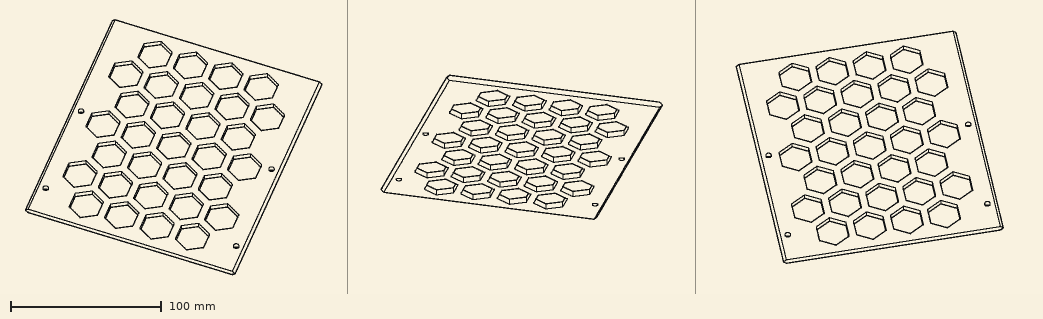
import cadquery as cq
import math

length = 164.8
width = 148.5
thickness = 4.0
bevel = thickness / 2

hex_sides = 6
hex_flats = 20.0
hex_pitch = 25.0
row_pitch = hex_pitch * math.sqrt(3) / 2
row_counts = [4, 5, 4, 5, 4, 5, 4]

hole_diameter = 3.6
hole_x = 67.5
upper_hole_y = 4.8
hole_spacing = 67.0


def make_plate():
    """Plate centred on the origin, with both X edges sharpened to a V."""
    half_width = width / 2
    half_thickness = thickness / 2
    flat_edge = half_width - bevel
    profile = [
        (-half_width, 0),
        (-flat_edge, half_thickness),
        (flat_edge, half_thickness),
        (half_width, 0),
        (flat_edge, -half_thickness),
        (-flat_edge, -half_thickness),
    ]
    return cq.Workplane("XZ").polyline(profile).close().extrude(length / 2, both=True)


def honeycomb_centres():
    """Centres of the openings, with every row centred on X = 0."""
    centres = []
    for row, count in enumerate(row_counts):
        y = (row - (len(row_counts) - 1) / 2) * row_pitch
        for column in range(count):
            x = (column - (count - 1) / 2) * hex_pitch
            centres.append((x, y))
    return centres


def make_honeycomb():
    """Through-cutters for the hexagons, each with corners pointing toward +Y and -Y."""
    corner_diameter = hex_flats * 2 / math.sqrt(3)
    sketch = (
        cq.Sketch()
        .push(honeycomb_centres())
        .regularPolygon(corner_diameter / 2, hex_sides)
    )
    return cq.Workplane("XY").placeSketch(sketch).extrude(thickness, both=True)


def make_mounting_holes():
    """Through-cutters for the four mounting holes."""
    lower_hole_y = upper_hole_y - hole_spacing
    centres = [(x, y) for x in (-hole_x, hole_x) for y in (lower_hole_y, upper_hole_y)]
    return (
        cq.Workplane("XY")
        .pushPoints(centres)
        .circle(hole_diameter / 2)
        .extrude(thickness, both=True)
    )


result = make_plate().cut(make_honeycomb()).cut(make_mounting_holes())